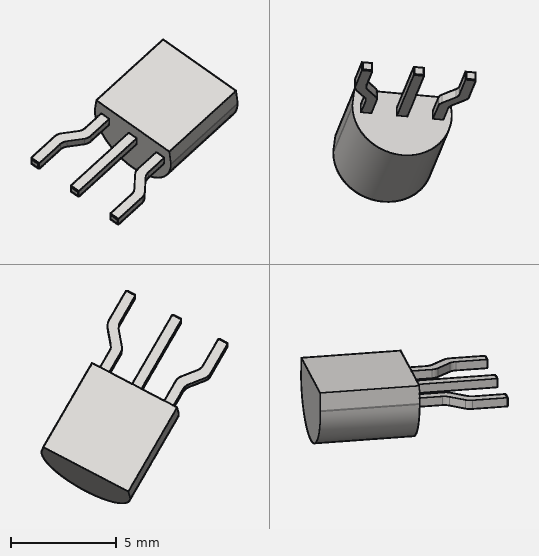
import cadquery as cq
import math

total_length = 9.0
total_height = 3.3
tip_span = 5.5

body_length = 4.8
body_radius = 2.4
shoulder_height = 0.045
flat_top_width = 4.61

lead_width = 0.5
lead_thickness = 0.45
lead_top_depth = 0.76
root_pitch = 1.74
first_bend = 1.34
second_bend = 2.29
bend_radius = 0.5
tip_chamfer = 0.045

lead_length = total_length - body_length
lead_bottom = total_height - lead_top_depth - lead_thickness
tip_pitch = (tip_span - lead_width) / 2


def make_body():
    """D-shaped section with its front face at Y = 0, extended towards +Y."""
    shoulder_top = body_radius + shoulder_height
    return (
        cq.Workplane("XZ")
        .moveTo(-body_radius, body_radius)
        .threePointArc((0, 0), (body_radius, body_radius))
        .lineTo(body_radius, shoulder_top)
        .lineTo(flat_top_width / 2, total_height)
        .lineTo(-flat_top_width / 2, total_height)
        .lineTo(-body_radius, shoulder_top)
        .close()
        .extrude(-body_length)
    )


def chamfer_tip(lead):
    return lead.faces("<Y").edges().chamfer(tip_chamfer)


def make_straight_lead():
    lead = (
        cq.Workplane("XY", origin=(0, -lead_length / 2, lead_bottom))
        .rect(lead_width, lead_length)
        .extrude(lead_thickness)
    )
    return chamfer_tip(lead)


def make_bent_lead():
    """Lead on the +X side, stepping outwards with a constant width."""
    bend_angle = math.atan2(tip_pitch - root_pitch, second_bend - first_bend)
    inner_shift = lead_width * math.tan(bend_angle / 2)
    root_outer = root_pitch + lead_width / 2
    tip_outer = tip_pitch + lead_width / 2
    root_inner = root_outer - lead_width
    tip_inner = tip_outer - lead_width
    bend_corners = [
        (root_outer, -first_bend),
        (tip_outer, -second_bend),
        (tip_inner, -second_bend - inner_shift),
        (root_inner, -first_bend - inner_shift),
    ]
    lead = (
        cq.Workplane("XY", origin=(0, 0, lead_bottom))
        .moveTo(root_outer, 0)
        .lineTo(*bend_corners[0])
        .lineTo(*bend_corners[1])
        .lineTo(tip_outer, -lead_length)
        .lineTo(tip_inner, -lead_length)
        .lineTo(*bend_corners[2])
        .lineTo(*bend_corners[3])
        .lineTo(root_inner, 0)
        .close()
        .extrude(lead_thickness)
    )
    middle_height = lead_bottom + lead_thickness / 2
    for x, y in bend_corners:
        corner_edge = cq.selectors.NearestToPointSelector((x, y, middle_height))
        lead = lead.edges("|Z").edges(corner_edge).fillet(bend_radius)
    return chamfer_tip(lead)


bent_lead = make_bent_lead()
result = (
    make_body()
    .union(make_straight_lead())
    .union(bent_lead)
    .union(bent_lead.mirror("YZ"))
)